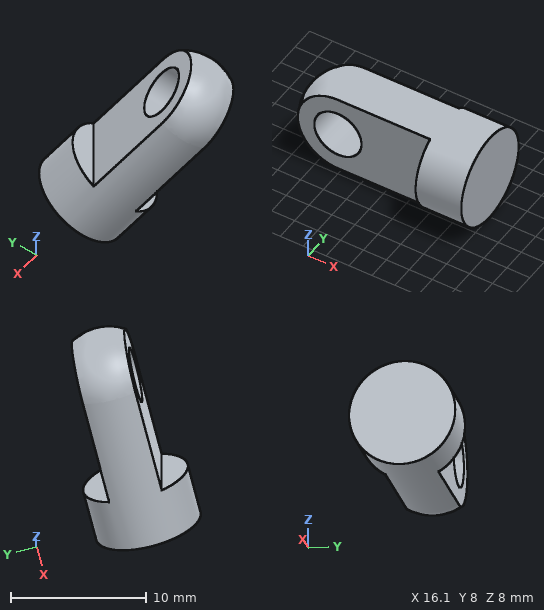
import cadquery as cq

length = 16.05
diameter = 8.0
radius = diameter / 2

tongue_thickness = diameter / 2
head_length = 3.98
shoulder_x = length - head_length

hole_diameter = 4.11
hole_x = 4.05


def round_nosed_rod():
    """Cylinder along X that ends in a hemisphere."""
    cylinder = cq.Workplane("YZ", origin=(radius, 0, 0)).circle(radius).extrude(length - radius)
    nose = cq.Workplane("XY", origin=(radius, 0, 0)).sphere(radius)
    return cylinder.union(nose)


def side_cut(side):
    """Block that flattens one side (+1 or -1 along Y) up to the shoulder."""
    cut_depth = radius - tongue_thickness / 2
    center_y = side * (tongue_thickness + cut_depth) / 2
    block = cq.Workplane("XY").box(shoulder_x, cut_depth, diameter)
    return block.translate((shoulder_x / 2, center_y, 0))


def cross_hole():
    """Pin along Y, as long as the rod is wide."""
    pin = cq.Workplane("XZ", origin=(hole_x, 0, 0)).circle(hole_diameter / 2)
    return pin.extrude(radius, both=True)


result = round_nosed_rod()
for side in (-1, 1):
    result = result.cut(side_cut(side))
result = result.cut(cross_hole())